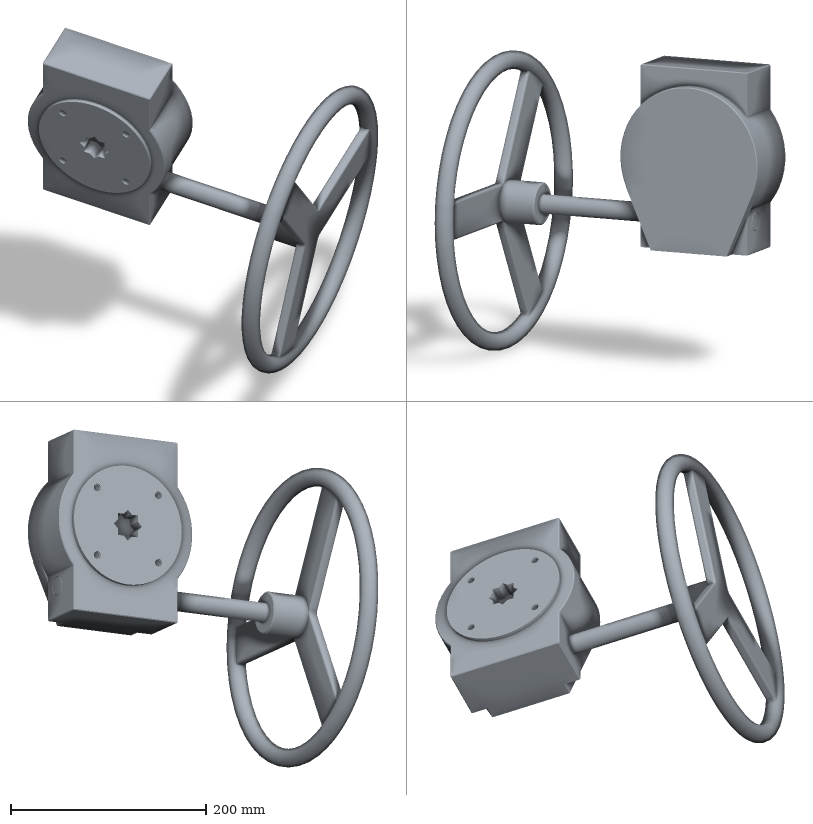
import cadquery as cq
import math


BARREL_DIAMETER = 154.8
BARREL_RADIUS = BARREL_DIAMETER / 2
BLOCK_WIDTH = 121.0
BLOCK_HEIGHT = 190.0
WHEEL_OFFSET = 62.3
HOUSING_FRONT = -36.0
BLOCK_BACK = 19.5
HOUSING_BACK = 33.0
EDGE_CHAMFER = 1.0
SKIRT_TANGENT_DROP = 31.0
FLANGE_DIAMETER = 125.0
FLANGE_THICKNESS = 4.5
FLANGE_FRONT = HOUSING_FRONT - FLANGE_THICKNESS

HOLE_DIAMETER = 7.0
COUNTERBORE_DIAMETER = 8.0
COUNTERBORE_DEPTH = 1.5
HOLE_DEPTH = 3.0
HOLE_SPACING = 71.0
DRILL_POINT_ANGLE = 118

SLEEVE_DIAMETER = 48.0
STAR_SQUARE_SIDE = 23.0
STAR_SQUARE_ANGLES = (0, 45)
STAR_DEPTH = 16.8

SHAFT_DIAMETER = 20.0
SHAFT_CHAMFER = 1.0
WHEEL_DIAMETER = 308.5
RIM_THICKNESS = 19.0
RIM_CENTER_X = 224.0
RIM_RADIUS = (WHEEL_DIAMETER - RIM_THICKNESS) / 2
RIM_SEAM_ANGLE = 37
SPOKE_COUNT = 3
SPOKE_WIDTH = 40.0
SPOKE_THICKNESS = 10.0
SPOKE_EDGE_RADIUS = 2.5
SPOKE_CORNER_RADIUS = 3.7
SPIDER_RING_RADIUS = 137.0
HUB_DIAMETER = 44.0
HUB_START = 179.7
HUB_CHAMFER = 1.5
WHEEL_BACK = RIM_CENTER_X + SPOKE_THICKNESS / 2
WHEEL_FRONT = RIM_CENTER_X - SPOKE_THICKNESS / 2
SHAFT_START = -BLOCK_WIDTH / 2


def sleeve_plane(y):
    """Sketch plane centred on the sleeve axis at depth y, with its normal along -Y."""
    return cq.Workplane("XZ", origin=(0, y, WHEEL_OFFSET))


def wheel_plane(x):
    """Sketch plane centred on the wheel axis at x, with its normal along +X."""
    return cq.Workplane("YZ", origin=(x, 0, 0))


def make_skirt():
    """Tapered foot behind the block, tangent to the barrel and level with the block's bottom."""
    angle = math.asin(SKIRT_TANGENT_DROP / BARREL_RADIUS)
    top_half_width = BARREL_RADIUS * math.cos(angle)
    taper_drop = BLOCK_HEIGHT / 2 - SKIRT_TANGENT_DROP
    bottom_half_width = top_half_width - taper_drop * math.tan(angle)
    return (
        sleeve_plane(HOUSING_BACK)
        .moveTo(-top_half_width, -SKIRT_TANGENT_DROP)
        .lineTo(-bottom_half_width, -BLOCK_HEIGHT / 2)
        .lineTo(bottom_half_width, -BLOCK_HEIGHT / 2)
        .lineTo(top_half_width, -SKIRT_TANGENT_DROP)
        .close()
        .extrude(HOUSING_BACK - BLOCK_BACK)
    )


def make_mounting_hole():
    """Blind drilled hole with a counterbored mouth and a conical bottom, on the sleeve axis."""
    radius = HOLE_DIAMETER / 2
    counterbore_radius = COUNTERBORE_DIAMETER / 2
    point_depth = radius / math.tan(math.radians(DRILL_POINT_ANGLE / 2))
    return (
        cq.Workplane("XY")
        .lineTo(counterbore_radius, 0)
        .lineTo(counterbore_radius, COUNTERBORE_DEPTH)
        .lineTo(radius, COUNTERBORE_DEPTH)
        .lineTo(radius, HOLE_DEPTH)
        .lineTo(0, HOLE_DEPTH + point_depth)
        .close()
        .revolve(360, (0, 0, 0), (0, 1, 0))
        .translate((0, FLANGE_FRONT, WHEEL_OFFSET))
    )


def make_housing():
    """Round barrel crossed by a block, with a front flange and bores for the sleeve and shaft."""
    barrel = sleeve_plane(HOUSING_BACK).circle(BARREL_RADIUS).extrude(HOUSING_BACK - HOUSING_FRONT)
    barrel = barrel.edges().chamfer(EDGE_CHAMFER)
    block = sleeve_plane(BLOCK_BACK).rect(BLOCK_WIDTH, BLOCK_HEIGHT).extrude(BLOCK_BACK - HOUSING_FRONT)
    block = block.edges("<Y or >Z or (<Z and (not >Y))").chamfer(EDGE_CHAMFER)
    flange = sleeve_plane(HOUSING_FRONT).circle(FLANGE_DIAMETER / 2).extrude(FLANGE_THICKNESS)
    body = barrel.union(block).union(make_skirt()).union(flange)

    sleeve_bore = sleeve_plane(HOUSING_BACK).circle(SLEEVE_DIAMETER / 2).extrude(HOUSING_BACK - FLANGE_FRONT)
    shaft_bore = wheel_plane(SHAFT_START).circle(SHAFT_DIAMETER / 2).extrude(BLOCK_WIDTH)
    body = body.cut(sleeve_bore).cut(shaft_bore)
    hole = make_mounting_hole()
    for side_x in (-1, 1):
        for side_z in (-1, 1):
            body = body.cut(hole.translate((side_x * HOLE_SPACING / 2, 0, side_z * HOLE_SPACING / 2)))
    return body


def make_sleeve():
    """Drive sleeve with an eight-pointed blind star socket made of two crossed squares."""
    length = HOUSING_BACK - FLANGE_FRONT
    sleeve = sleeve_plane(HOUSING_BACK).circle(SLEEVE_DIAMETER / 2).extrude(length)
    for angle in STAR_SQUARE_ANGLES:
        square = (
            sleeve_plane(FLANGE_FRONT + STAR_DEPTH)
            .transformed(rotate=(0, 0, angle))
            .rect(STAR_SQUARE_SIDE, STAR_SQUARE_SIDE)
            .extrude(STAR_DEPTH)
        )
        sleeve = sleeve.cut(square)
    return sleeve


def make_shaft():
    """Rod from the block's -X face to the back of the hub, with a chamfered free end."""
    rod = wheel_plane(SHAFT_START).circle(SHAFT_DIAMETER / 2).extrude(WHEEL_BACK - SHAFT_START)
    return rod.faces("<X").chamfer(SHAFT_CHAMFER)


def make_spider():
    """Flat spokes joined to a thin ring inside the rim, with rounded corners and edges."""
    spider = wheel_plane(WHEEL_FRONT).circle(RIM_RADIUS).circle(SPIDER_RING_RADIUS).extrude(SPOKE_THICKNESS)
    spoke_length = (SPIDER_RING_RADIUS + RIM_RADIUS) / 2
    spoke = cq.Workplane("XY", origin=(RIM_CENTER_X, 0, 0)).box(
        SPOKE_THICKNESS, spoke_length, SPOKE_WIDTH, centered=(True, False, True)
    )
    for index in range(SPOKE_COUNT):
        spider = spider.union(spoke.rotate((0, 0, 0), (1, 0, 0), index * 360 / SPOKE_COUNT))
    inside_ring = cq.selectors.BoxSelector(
        (WHEEL_FRONT, -SPIDER_RING_RADIUS, -SPIDER_RING_RADIUS),
        (WHEEL_BACK, SPIDER_RING_RADIUS, SPIDER_RING_RADIUS),
    )
    spider = spider.edges("|X").edges(inside_ring).fillet(SPOKE_CORNER_RADIUS)
    return spider.faces("<X or >X").edges().fillet(SPOKE_EDGE_RADIUS)


def make_rim():
    """Torus whose start seam is turned to lie clear of the spokes."""
    torus = cq.Solid.makeTorus(
        RIM_RADIUS, RIM_THICKNESS / 2, cq.Vector(RIM_CENTER_X, 0, 0), cq.Vector(1, 0, 0)
    )
    return cq.Workplane(torus).rotate((0, 0, 0), (1, 0, 0), RIM_SEAM_ANGLE)


def make_handwheel():
    """Hub, spokes and rim in one piece, bored for the shaft."""
    hub = wheel_plane(HUB_START).circle(HUB_DIAMETER / 2).extrude(WHEEL_BACK - HUB_START)
    hub = hub.faces("<X").chamfer(HUB_CHAMFER)
    wheel = hub.union(make_spider()).union(make_rim())
    shaft_bore = wheel_plane(HUB_START).circle(SHAFT_DIAMETER / 2).extrude(WHEEL_BACK - HUB_START)
    return wheel.cut(shaft_bore)


housing = make_housing()
sleeve = make_sleeve()
shaft = make_shaft()
handwheel = make_handwheel()

result = cq.Compound.makeCompound([
    housing.solids().val(),
    sleeve.solids().val(),
    shaft.solids().val(),
    handwheel.solids().val(),
])